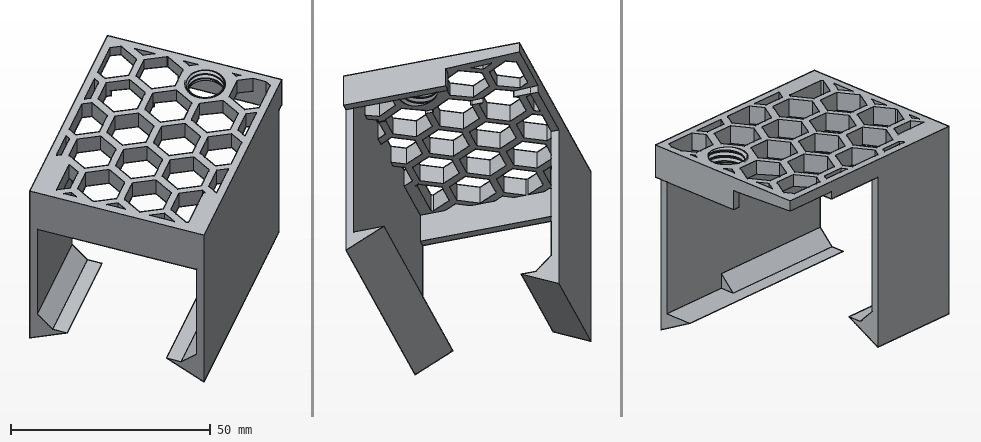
import cadquery as cq

width = 46.45
length = 58.3
height = 52.5
wall = 2.05

plate_thickness = 4.95
plate_bottom = height - plate_thickness
ramp_edge_thickness = 2.85
ramp_front_y = 43.15

front_panel_depth = 13.0
rear_block_depth = 9.05
rear_block_start_x = 19.5

short_leg_length = 26.1
long_leg_length = length - wall
brace_length = 36.25
hook_reach = 10.0
hook_height = 5.2
brace_size = 4.1

hole_x = 29.0
hole_y = 50.8
minor_diameter = 9.15
major_diameter = 10.8
thread_pitch = 1.5
groove_mouth = 1.35
groove_root = 0.2
groove_overlap = 0.1
groove_start_angle = 180

hex_diameter = 12.0
column_step = (12.25, 0.45)
row_step = (6.0, -10.4)
row_range = range(-1, 6)
column_range = range(-6, 4)
corner_pad_depth = 14.3
short_side_pad_width = 6.2
long_side_pad_width = 5.2


def box(x0, x1, y0, y1, z0, z1):
    """Box between two opposite corners."""
    return cq.Workplane("XY").box(x1 - x0, y1 - y0, z1 - z0, centered=False).translate((x0, y0, z0))


def prism(points, y0, y1):
    """Extrude an XZ outline from y0 to y1."""
    return cq.Workplane("XZ", origin=(0, y0, 0)).polyline(points).close().extrude(y0 - y1)


def leg(leg_length, leg_brace_length):
    """Leg at x = 0: upright wall, inward hook and a 45 degree brace above the hook."""
    upright = [(0, 0), (hook_reach, hook_height), (wall, hook_height), (wall, height), (0, height)]
    brace = [(0, hook_height), (wall + brace_size, hook_height), (wall, hook_height + brace_size),
             (0, hook_height + brace_size)]
    return prism(upright, 0, leg_length).union(prism(brace, 0, leg_brace_length))


def plate():
    """Plate whose rear underside climbs from full thickness to a thinner short-leg edge."""
    ramp = [(0, plate_bottom), (width, plate_bottom), (0, height - ramp_edge_thickness)]
    slab = box(0, width, 0, length, plate_bottom, height)
    return slab.cut(prism(ramp, ramp_front_y, length))


def hex_openings():
    """Hexagonal through openings, trimmed to the plate border and the two solid front corners."""
    hexagon = (cq.Workplane("XY").polygon(6, hex_diameter).extrude(plate_thickness)
               .rotate((0, 0, 0), (0, 0, 1), 30))
    field = box(wall, width - wall, wall, length - wall, plate_bottom, height)
    field = field.cut(box(0, short_side_pad_width, 0, corner_pad_depth, plate_bottom, height))
    field = field.cut(box(width - long_side_pad_width, width, 0, corner_pad_depth, plate_bottom, height))

    reach = hex_diameter / 2
    cells = cq.Workplane("XY")
    for row in row_range:
        for column in column_range:
            x = hole_x + column * column_step[0] + row * row_step[0]
            y = hole_y + column * column_step[1] + row * row_step[1]
            is_threaded_hole = row == 0 and column == 0
            is_near_plate = -reach < x < width + reach and -reach < y < length + reach
            if is_near_plate and not is_threaded_hole:
                cells.add(hexagon.translate((x, y, plate_bottom)))
    return field.intersect(cells.combine())


def thread_cutter():
    """Minor-diameter bore with a helical thread groove, running past both plate faces."""
    minor_radius = minor_diameter / 2
    major_radius = major_diameter / 2
    groove_base = minor_radius - groove_overlap
    groove_length = plate_thickness + 2 * thread_pitch
    helix = cq.Wire.makeHelix(thread_pitch, groove_length, minor_radius)
    groove = (cq.Workplane("XZ")
              .polyline([(groove_base, -groove_mouth / 2), (major_radius, -groove_root / 2),
                         (major_radius, groove_root / 2), (groove_base, groove_mouth / 2)])
              .close().sweep(helix, isFrenet=True))
    bore = cq.Workplane("XY").circle(minor_radius).extrude(groove_length)
    cutter = bore.union(groove).rotate((0, 0, 0), (0, 0, 1), groove_start_angle)
    return cutter.translate((hole_x, hole_y, plate_bottom - thread_pitch))


short_leg = leg(short_leg_length, short_leg_length)
long_leg = leg(long_leg_length, brace_length).mirror("YZ").translate((width, 0, 0))
front_panel = box(0, width, 0, wall, height - front_panel_depth, height)
rear_block = box(rear_block_start_x, width, length - wall, length, height - rear_block_depth, height)

perforated_plate = plate().cut(hex_openings()).cut(thread_cutter())
result = perforated_plate.union(short_leg).union(long_leg).union(front_panel).union(rear_block)